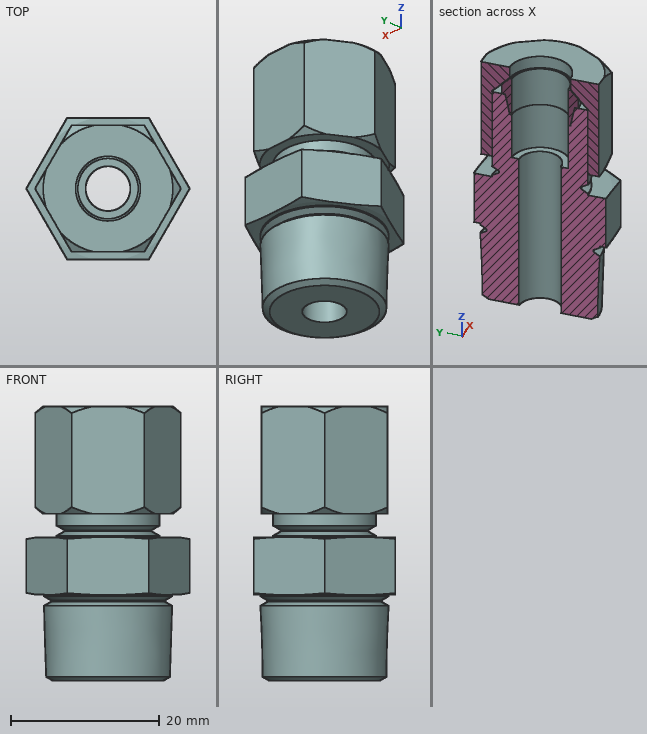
import cadquery as cq
import math

total_height = 37.0
nut_height = 14.5
nut_bottom = total_height - nut_height

body_hex_flats = 19.1
body_hex_bottom = 11.6
body_hex_top = 19.35
body_chamfer_radius = 9.7
body_chamfer_angle = 10.0

pipe_thread_radius = 8.65
pipe_taper = 1 / 32
pipe_chamfer_height = 0.55
pipe_chamfer_width = 0.95
nut_thread_radius = 6.95

groove_flank_angle = 30.0
groove_floor_width = 0.2
pipe_groove_middle = 10.75
pipe_groove_radius = 7.7
neck_groove_middle = 20.25
neck_groove_radius = 5.92

passage_radius = 3.0
tube_radius = 4.07
tube_socket_floor = 22.95
nut_bore_radius = 4.35

nut_hex_flats = 17.02
nut_chamfer_radius = 8.75
nut_chamfer_angle = 40.0

ferrule_depth = 1.78
ferrule_top = total_height - ferrule_depth
ferrule_collar_radius = 5.55
seat_mouth_radius = 5.0
seat_angle = 12.0
ferrule_nose_length = 3.0

ferrule_collar_top = ferrule_top - (ferrule_collar_radius - nut_bore_radius)
body_top = ferrule_top - (nut_thread_radius - nut_bore_radius)
ferrule_nose_bottom = body_top - ferrule_nose_length
ferrule_nose_radius = seat_mouth_radius - ferrule_nose_length * math.tan(math.radians(seat_angle))


def revolve_about_z(profile):
    """Turn a closed (radius, height) outline about the Z axis."""
    return cq.Workplane("XZ").polyline(profile).close().revolve(360, (0, 0), (0, 1))


def chamfered_hexagon(flats, bottom, top, end_radius, angle):
    """Hexagonal prism with corners on the X axis and a conical chamfer at both ends."""
    corner_radius = flats / math.sqrt(3)
    chamfer_drop = (corner_radius - end_radius) * math.tan(math.radians(angle))
    prism = cq.Workplane("XY").workplane(offset=bottom).polygon(6, 2 * corner_radius).extrude(top - bottom)
    envelope = revolve_about_z([
        (0, bottom),
        (end_radius, bottom),
        (corner_radius, bottom + chamfer_drop),
        (corner_radius, top - chamfer_drop),
        (end_radius, top),
        (0, top),
    ])
    return prism.intersect(envelope)


def groove_outline(middle, floor_radius, outer_radius):
    """Four outline points of a flat-floored groove, from its lower edge to its upper edge."""
    half_floor = groove_floor_width / 2
    flank_rise = (outer_radius - floor_radius) * math.tan(math.radians(groove_flank_angle))
    return [
        (outer_radius, middle - half_floor - flank_rise),
        (floor_radius, middle - half_floor),
        (floor_radius, middle + half_floor),
        (outer_radius, middle + half_floor + flank_rise),
    ]


def make_body():
    """Fitting body: tapered pipe thread, hexagon, and the nut's thread above it."""
    pipe_groove = groove_outline(pipe_groove_middle, pipe_groove_radius, pipe_thread_radius)
    neck_groove = groove_outline(neck_groove_middle, neck_groove_radius, nut_thread_radius)
    pipe_thread_top = pipe_groove[0][1]
    pipe_small_radius = pipe_thread_radius - pipe_taper * (pipe_thread_top - pipe_chamfer_height)
    shank = revolve_about_z([
        (0, 0),
        (pipe_small_radius - pipe_chamfer_width, 0),
        (pipe_small_radius, pipe_chamfer_height),
        *pipe_groove,
        (pipe_thread_radius, body_hex_bottom),
        (nut_thread_radius, body_hex_top),
        *neck_groove,
        (nut_thread_radius, body_top),
        (0, body_top),
    ])
    hexagon = chamfered_hexagon(
        body_hex_flats, body_hex_bottom, body_hex_top, body_chamfer_radius, body_chamfer_angle
    )
    bore = revolve_about_z([
        (0, 0),
        (passage_radius, 0),
        (passage_radius, tube_socket_floor),
        (tube_radius, tube_socket_floor),
        (tube_radius, ferrule_nose_bottom),
        (ferrule_nose_radius, ferrule_nose_bottom),
        (seat_mouth_radius, body_top),
        (0, body_top),
    ])
    return shank.union(hexagon).cut(bore)


def make_nut():
    """Compression nut: hexagon with a tube bore, a pressing cone and a thread bore."""
    hexagon = chamfered_hexagon(
        nut_hex_flats, nut_bottom, total_height, nut_chamfer_radius, nut_chamfer_angle
    )
    cavity = revolve_about_z([
        (0, nut_bottom),
        (nut_thread_radius, nut_bottom),
        (nut_thread_radius, body_top),
        (nut_bore_radius, ferrule_top),
        (nut_bore_radius, total_height),
        (0, total_height),
    ])
    return hexagon.cut(cavity)


def make_ferrule():
    """Ferrule: ring held between the nut's cone and the body's tapered seat."""
    return revolve_about_z([
        (tube_radius, ferrule_nose_bottom),
        (ferrule_nose_radius, ferrule_nose_bottom),
        (seat_mouth_radius, body_top),
        (ferrule_collar_radius, body_top),
        (ferrule_collar_radius, ferrule_collar_top),
        (nut_bore_radius, ferrule_top),
        (tube_radius, ferrule_top),
    ])


body = make_body()
nut = make_nut()
ferrule = make_ferrule()

result = cq.Compound.makeCompound([body.val(), nut.val(), ferrule.val()])